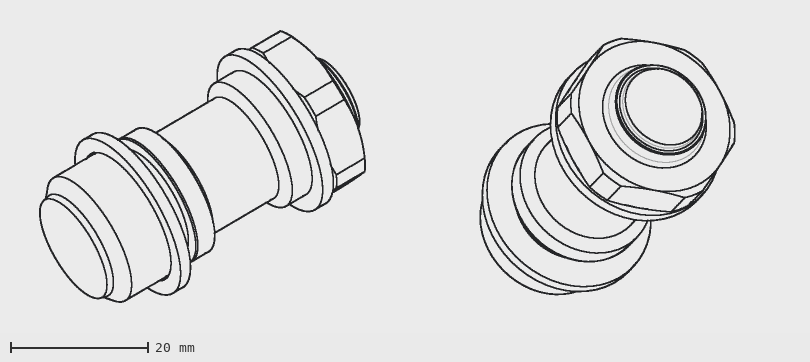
import cadquery as cq
import math

LENGTH = 47.5

collar_diameter = 26.0
collar_radius = collar_diameter / 2
body_radius = 10.4
shaft_radius = 8.5
plug_tip_radius = 8.25

plug_tip_length = 1.0
plug_chamfer_end = plug_tip_length + body_radius - shaft_radius
collar_front = 9.9
collar_back = 11.7
collar_clearance = 0.25
clearance_depth = 0.95
neck_flare = 0.15

ring_section_radius = 1.2
ring_front = 12.25
ring_back = ring_front + 2 * ring_section_radius
ring_center_radius = 8.08

land_edge_chamfer = 0.3
land_edge_drop = 0.1
land_back = 18.0
taper_length = 1.05
shoulder_front = 32.05

rear_collar_front = 35.65
nut_front = 37.6
nut_back = 44.0
nut_half_flats = 11.95
nut_chamfer_slope = math.tan(math.radians(30))

cap_fillet_radius = 8.2
cap_base_radius = 7.6
cap_base = 44.7
cap_rim_radius = 7.15
cap_rim = 46.35
cap_step_radius = 7.05
cap_step = 46.55
button_foot_radius = 6.6
button_base_radius = 6.25
button_base = 46.85
button_tip_radius = 6.1
foot_sag = 0.12
button_sag = 0.05


def concave_arc_point(start, end, sag):
    """Midpoint of an arc bulging towards the axis by the given sag."""
    run = end[0] - start[0]
    rise = end[1] - start[1]
    span = math.hypot(run, rise)
    return (
        (start[0] + end[0]) / 2 - sag * rise / span,
        (start[1] + end[1]) / 2 + sag * run / span,
    )


def revolve_about_y(profile):
    return profile.close().revolve(360, (0, 0, 0), (0, 1, 0))


def make_front_body():
    """Plug, neck, O-ring, sealing land, shaft and rear shoulder."""
    ring_middle = (ring_front + ring_back) / 2
    return revolve_about_y(
        cq.Workplane("XY")
        .moveTo(0, 0)
        .lineTo(plug_tip_radius, 0)
        .lineTo(shaft_radius, plug_tip_length)
        .lineTo(body_radius, plug_chamfer_end)
        .lineTo(body_radius, collar_back)
        .lineTo(shaft_radius + neck_flare, collar_back)
        .lineTo(shaft_radius, collar_back + neck_flare)
        .lineTo(shaft_radius, ring_front)
        .lineTo(ring_center_radius, ring_front)
        .threePointArc(
            (ring_center_radius + ring_section_radius, ring_middle),
            (ring_center_radius, ring_back),
        )
        .lineTo(body_radius - land_edge_drop, ring_back)
        .lineTo(body_radius, ring_back + land_edge_chamfer)
        .lineTo(body_radius, land_back)
        .lineTo(shaft_radius, land_back + taper_length)
        .lineTo(shaft_radius, shoulder_front - taper_length)
        .lineTo(body_radius, shoulder_front)
        .lineTo(body_radius, rear_collar_front)
        .lineTo(0, rear_collar_front)
    )


def make_collar(front, back):
    return revolve_about_y(
        cq.Workplane("XY")
        .moveTo(0, front)
        .lineTo(collar_radius, front)
        .lineTo(collar_radius, back)
        .lineTo(0, back)
    )


def make_front_collar():
    """Collar with a narrow annular clearance around the plug on its front face."""
    clearance = revolve_about_y(
        cq.Workplane("XY")
        .moveTo(body_radius, collar_front)
        .lineTo(body_radius + collar_clearance, collar_front)
        .lineTo(body_radius + collar_clearance, collar_front + clearance_depth)
        .lineTo(body_radius, collar_front + clearance_depth)
    )
    return make_collar(collar_front, collar_back).cut(clearance)


def make_nut():
    """Hexagon with flats facing +Z and -Z, corners turned round and both ends chamfered."""
    chamfer_length = (collar_radius - nut_half_flats) * nut_chamfer_slope
    corner_diameter = 2 * nut_half_flats / math.cos(math.pi / 6)
    hexagon = (
        cq.Workplane("XZ", origin=(0, nut_back, 0))
        .polygon(6, corner_diameter)
        .extrude(nut_back - nut_front)
    )
    turned_envelope = revolve_about_y(
        cq.Workplane("XY")
        .moveTo(0, nut_front)
        .lineTo(nut_half_flats, nut_front)
        .lineTo(collar_radius, nut_front + chamfer_length)
        .lineTo(collar_radius, nut_back - chamfer_length)
        .lineTo(nut_half_flats, nut_back)
        .lineTo(0, nut_back)
    )
    return hexagon.intersect(turned_envelope)


def make_cap():
    """Tapered cap and end button, each with a concave foot."""
    foot = (cap_fillet_radius, nut_back)
    base = (cap_base_radius, cap_base)
    button_foot = (button_foot_radius, cap_step)
    button_start = (button_base_radius, button_base)
    return revolve_about_y(
        cq.Workplane("XY")
        .moveTo(0, nut_back)
        .lineTo(*foot)
        .threePointArc(concave_arc_point(foot, base, foot_sag), base)
        .lineTo(cap_rim_radius, cap_rim)
        .lineTo(cap_step_radius, cap_step)
        .lineTo(*button_foot)
        .threePointArc(concave_arc_point(button_foot, button_start, button_sag), button_start)
        .lineTo(button_tip_radius, LENGTH)
        .lineTo(0, LENGTH)
    )


result = (
    make_front_body()
    .union(make_front_collar())
    .union(make_collar(rear_collar_front, nut_front))
    .union(make_nut())
    .union(make_cap())
)